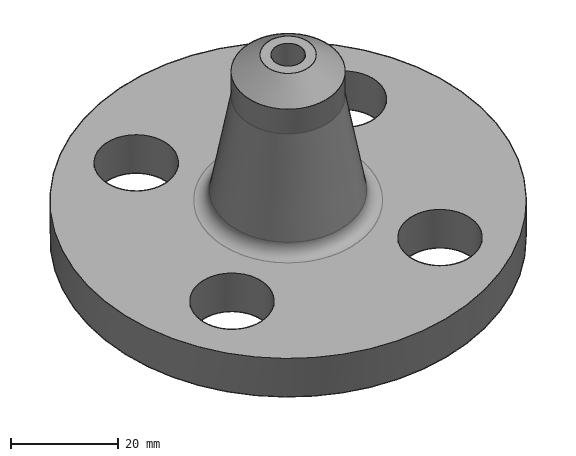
import cadquery as cq
import math

flange_diameter = 88.9
flange_thickness = 9.65

bolt_circle_diameter = 60.45
bolt_hole_diameter = 15.75
bolt_hole_count = 4

overall_height = 45.97
hub_base_diameter = 30.2
hub_fillet_radius = 3.0
weld_end_diameter = 21.3
weld_end_length = 10.3
bevel_angle = 37.5
land_diameter = 10.5
bore_diameter = 6.4

weld_end_radius = weld_end_diameter / 2
land_radius = land_diameter / 2
bevel_height = (weld_end_radius - land_radius) * math.tan(math.radians(bevel_angle))


def make_flange():
    """Round plate resting on Z = 0."""
    return cq.Workplane("XY").circle(flange_diameter / 2).extrude(flange_thickness)


def make_neck():
    """Revolved taper, straight weld end and bevel standing on the plate."""
    return (
        cq.Workplane("XZ")
        .moveTo(0, 0)
        .lineTo(hub_base_diameter / 2, 0)
        .lineTo(hub_base_diameter / 2, flange_thickness)
        .lineTo(weld_end_radius, overall_height - weld_end_length)
        .lineTo(weld_end_radius, overall_height - bevel_height)
        .lineTo(land_radius, overall_height)
        .lineTo(0, overall_height)
        .close()
        .revolve(360, (0, 0, 0), (0, 1, 0))
    )


def fillet_hub_root(body):
    """Round the inside corner where the hub meets the plate."""
    margin = 0.1
    half_width = hub_base_diameter / 2 + margin
    root_edge = cq.selectors.BoxSelector(
        (-half_width, -half_width, flange_thickness - margin),
        (half_width, half_width, flange_thickness + margin),
        boundingbox=True,
    )
    return body.edges(root_edge).fillet(hub_fillet_radius)


def cut_holes(body):
    """Cut the central bore and the ring of bolt holes right through."""
    bore = cq.Workplane("XY").circle(bore_diameter / 2).extrude(overall_height)
    bolt_holes = (
        cq.Workplane("XY")
        .polarArray(bolt_circle_diameter / 2, 0, 360, bolt_hole_count)
        .circle(bolt_hole_diameter / 2)
        .extrude(flange_thickness)
    )
    return body.cut(bore).cut(bolt_holes)


result = cut_holes(fillet_hub_root(make_flange().union(make_neck())))